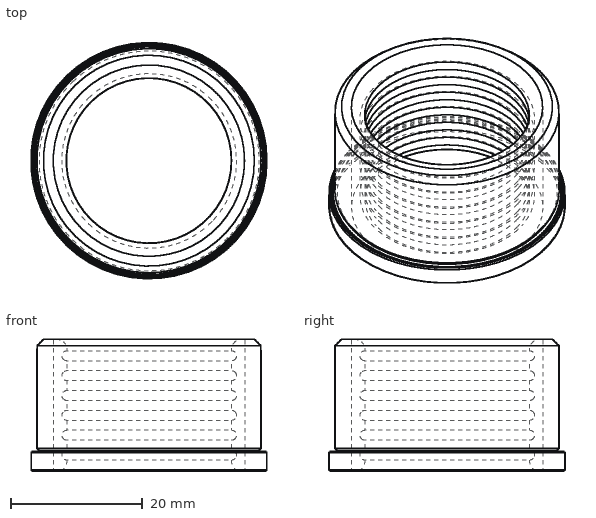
import cadquery as cq
import math

flange_radius = 17.9
height = 20.0
sleeve_radius = 17.0

flange_height = 3.0
flange_chamfer = 0.2

relief_top = 3.47
relief_depth = 0.32
relief_sink = 0.1
relief_outer_radius = 17.47
relief_floor_radius = 17.25

lead_height = 3.0
lead_reduction = 0.018
top_chamfer = 1.0

liner_radius = 14.5
bore_radius = 12.5
mouth_round = 1.5
groove_count = 6
groove_pitch = 3.0
groove_radius = 0.75
first_groove_height = (height - (groove_count - 1) * groove_pitch) / 2


def make_sleeve():
    """Flanged outer sleeve, revolved about Z."""
    lead_radius = sleeve_radius - lead_reduction
    relief_radius = sleeve_radius - relief_depth
    relief_floor = flange_height - relief_sink
    flat_radius = flange_radius - flange_chamfer
    profile = (
        cq.Workplane("XZ")
        .moveTo(liner_radius, 0)
        .lineTo(flat_radius, 0)
        .lineTo(flange_radius, flange_chamfer)
        .lineTo(flange_radius, flange_height - flange_chamfer)
        .lineTo(flat_radius, flange_height)
        .lineTo(relief_outer_radius, flange_height)
        .lineTo(relief_floor_radius, relief_floor)
        .lineTo(relief_radius, relief_floor)
        .lineTo(relief_radius, relief_top - relief_depth)
        .lineTo(sleeve_radius, relief_top)
        .lineTo(sleeve_radius, height - lead_height)
        .lineTo(lead_radius, height - top_chamfer)
        .lineTo(lead_radius - top_chamfer, height)
        .lineTo(liner_radius, height)
        .close()
    )
    return profile.revolve(360, (0, 0, 0), (0, 1, 0))


def make_liner():
    """Inner bush with rounded mouths and evenly spaced round grooves in its bore."""
    mouth_radius = bore_radius + mouth_round
    round_mid = mouth_round * (1 - math.sqrt(0.5))
    profile = (
        cq.Workplane("XZ")
        .moveTo(liner_radius, height)
        .lineTo(liner_radius, 0)
        .lineTo(mouth_radius, 0)
        .threePointArc((bore_radius + round_mid, round_mid), (bore_radius, mouth_round))
    )
    for index in range(groove_count):
        groove_height = first_groove_height + index * groove_pitch
        profile = profile.lineTo(bore_radius, groove_height - groove_radius).threePointArc(
            (bore_radius + groove_radius, groove_height),
            (bore_radius, groove_height + groove_radius),
        )
    profile = (
        profile.lineTo(bore_radius, height - mouth_round)
        .threePointArc((bore_radius + round_mid, height - round_mid), (mouth_radius, height))
        .close()
    )
    return profile.revolve(360, (0, 0, 0), (0, 1, 0))


sleeve = make_sleeve()
liner = make_liner()

result = cq.Compound.makeCompound([sleeve.val(), liner.val()])